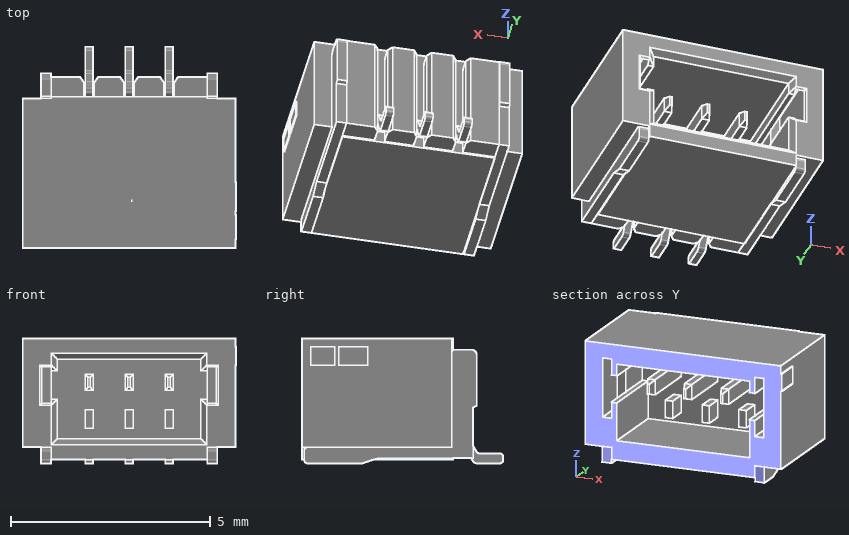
import cadquery as cq
import math


HOUSING_WIDTH = 5.34
HOUSING_DEPTH = 3.76
HOUSING_TOP = 3.14
SIDE_BOTTOM = 0.415
BASE_BOTTOM = 0.1
BASE_HALF_WIDTH = 1.955
REAR_BAND = 0.045

MOUTH_WIDTH = 3.9
MOUTH_BOTTOM = 0.47
MOUTH_TOP = 2.77
MOUTH_CHAMFER = 0.15
CAVITY_DEPTH = 2.95

KEY_HALF_WIDTH = 2.235
KEY_BOTTOM = 1.465
KEY_TOP = 2.47
POCKET_FRONT = 0.05
POCKET_OVERHANG = 0.27
POCKET_DEPTH = 1.875

BLOCK_REAR = 4.295
BLOCK_TOP = 2.855
BLOCK_BOTTOM = 0.14
SLOT_WIDTH = 0.255
SLOT_FLARE = 0.095
SLOT_FLARE_DEPTH = 0.14

CONTACT_COUNT = 3
CONTACT_PITCH = 1.0
CONTACT_WIDTH = 0.2
FOOT_REAR = 5.05
FOOT_THICKNESS = 0.255
FOOT_ROUND = 0.09
HEEL_Y = 4.32
RISER_ANGLE = 60.0
RISER_FOOT_Y = 4.405
ARM_BOTTOM = 0.44
ARM_TOP = 0.735
ARM_FRONT_TOP = 0.61
ARM_FRONT_ROUND = 0.12
RISER_ROUND = 0.18
RISER_FOOT_ROUND = 0.09
HEEL_ROUND = 0.14
EMBED = 0.105

PIN_BOTTOM = 1.84
PIN_TOP = 2.235
PIN_TIP_Y = 1.07
PIN_TAPER = 0.07
PIN_TAPER_LENGTH = 0.215
STUB_BOTTOM = 0.89
STUB_TOP = 1.345
STUB_FRONT_Y = 2.41

TAB_THICKNESS = 0.255
TAB_FRONT = 0.06
TAB_REAR = 4.39
TAB_STEP_Z = 1.45
TAB_STEP_DROP = 0.055
TAB_REAR_ROUND = 0.14
TAB_TOE_ROUND = 0.09
TAB_TOP_CHAMFER = 0.05
TOE_REAR = 1.51
TOE_RAMP_REAR = 1.93

MARK_HEIGHT = 0.02
MARK_BOTTOM = 2.465
MARK_TOP = 2.925
MARK_SPANS = ((0.225, 0.83), (0.925, 1.65))

REAR_WALL = HOUSING_DEPTH + REAR_BAND
CONTACT_XS = [(i - (CONTACT_COUNT - 1) / 2) * CONTACT_PITCH for i in range(CONTACT_COUNT)]


def block(x0, x1, y0, y1, z0, z1):
    """Box between two opposite corners."""
    return cq.Workplane("XY").box(x1 - x0, y1 - y0, z1 - z0, centered=False).translate((x0, y0, z0))


def side_profile(x):
    """Workplane across the width at x; its axes are Y and Z and it extrudes towards +X."""
    return cq.Workplane("YZ", origin=(x, 0, 0))


def make_shell():
    half = HOUSING_WIDTH / 2
    shell = block(-half, half, 0, HOUSING_DEPTH, SIDE_BOTTOM, HOUSING_TOP)
    core = block(-BASE_HALF_WIDTH, BASE_HALF_WIDTH, 0, REAR_WALL, BASE_BOTTOM, HOUSING_TOP)
    return shell.union(core)


def mouth_outline(inset, y):
    """Cross-shaped outline of the mouth, moved inwards by inset, on the plane at y."""
    half = MOUTH_WIDTH / 2 - inset
    key_half = KEY_HALF_WIDTH - inset
    bottom, top = MOUTH_BOTTOM + inset, MOUTH_TOP - inset
    key_bottom, key_top = KEY_BOTTOM + inset, KEY_TOP - inset
    right = [
        (half, bottom), (half, key_bottom), (key_half, key_bottom),
        (key_half, key_top), (half, key_top), (half, top),
    ]
    left = [(-x, z) for x, z in reversed(right)]
    return cq.Wire.makePolygon([cq.Vector(x, y, z) for x, z in right + left], close=True)


def make_cavity():
    """Chamfered mouth, the straight cavity and its side slots and pockets."""
    mouth = cq.Workplane(
        cq.Solid.makeLoft([mouth_outline(0, 0), mouth_outline(MOUTH_CHAMFER, MOUTH_CHAMFER)], True)
    )
    half = MOUTH_WIDTH / 2 - MOUTH_CHAMFER
    room = block(-half, half, 0, CAVITY_DEPTH, MOUTH_BOTTOM + MOUTH_CHAMFER, MOUTH_TOP - MOUTH_CHAMFER)
    slots = block(
        -BASE_HALF_WIDTH, BASE_HALF_WIDTH, 0, CAVITY_DEPTH,
        KEY_BOTTOM + MOUTH_CHAMFER, KEY_TOP - MOUTH_CHAMFER,
    )
    cavity = mouth.union(room).union(slots)
    pocket = block(
        BASE_HALF_WIDTH, KEY_HALF_WIDTH - POCKET_FRONT, POCKET_FRONT, POCKET_DEPTH,
        KEY_BOTTOM - POCKET_OVERHANG, KEY_TOP + POCKET_OVERHANG,
    )
    return cavity.union(pocket).union(pocket.mirror("YZ"))


def make_guide_blocks():
    """Rear wall extension, divided by one flared slot for each contact."""
    blocks = block(-BASE_HALF_WIDTH, BASE_HALF_WIDTH, REAR_WALL, BLOCK_REAR, BLOCK_BOTTOM, BLOCK_TOP)
    narrow = SLOT_WIDTH / 2
    wide = narrow + SLOT_FLARE
    flare_start = BLOCK_REAR - SLOT_FLARE_DEPTH
    slot_points = [
        (-narrow, REAR_WALL), (-narrow, flare_start), (-wide, BLOCK_REAR),
        (wide, BLOCK_REAR), (narrow, flare_start), (narrow, REAR_WALL),
    ]
    slot = cq.Workplane("XY").polyline(slot_points).close().extrude(HOUSING_TOP)
    for x in CONTACT_XS:
        blocks = blocks.cut(slot.translate((x, 0, 0)))
    return blocks


def make_contact():
    """Bent solder leg behind the rear wall, centred on x = 0."""
    run = 1 / math.tan(math.radians(RISER_ANGLE))
    leg_points = [
        (REAR_WALL - EMBED, ARM_BOTTOM),
        (HEEL_Y - ARM_BOTTOM * run, ARM_BOTTOM),
        (HEEL_Y, 0),
        (FOOT_REAR, 0),
        (FOOT_REAR, FOOT_THICKNESS),
        (RISER_FOOT_Y, FOOT_THICKNESS),
        (RISER_FOOT_Y - (ARM_TOP - FOOT_THICKNESS) * run, ARM_TOP),
        (REAR_WALL, ARM_TOP),
        (REAR_WALL, ARM_FRONT_TOP),
        (REAR_WALL - EMBED, ARM_FRONT_TOP),
    ]
    leg = side_profile(-CONTACT_WIDTH / 2).polyline(leg_points).close().extrude(CONTACT_WIDTH)

    for (y, z), radius in (
        (leg_points[2], HEEL_ROUND), (leg_points[3], FOOT_ROUND), (leg_points[4], FOOT_ROUND),
        (leg_points[5], RISER_FOOT_ROUND), (leg_points[6], RISER_ROUND), (leg_points[7], ARM_FRONT_ROUND),
    ):
        corner = cq.selectors.NearestToPointSelector((0, y, z))
        leg = leg.edges("|X").edges(corner).fillet(radius)
    return leg


def make_pin():
    """Mating pin with a tapered tip, and the plain stub below it."""
    half = CONTACT_WIDTH / 2
    height = PIN_TOP - PIN_BOTTOM
    shoulder_y = PIN_TIP_Y + PIN_TAPER_LENGTH
    pin = block(-half, half, shoulder_y, CAVITY_DEPTH, PIN_BOTTOM, PIN_TOP)
    tip = (
        cq.Workplane("XZ", origin=(0, shoulder_y, (PIN_BOTTOM + PIN_TOP) / 2))
        .rect(CONTACT_WIDTH, height)
        .workplane(offset=PIN_TAPER_LENGTH)
        .rect(CONTACT_WIDTH - 2 * PIN_TAPER, height - 2 * PIN_TAPER)
        .loft(ruled=True)
    )
    stub = block(-half, half, STUB_FRONT_Y, CAVITY_DEPTH, STUB_BOTTOM, STUB_TOP)
    return pin.union(tip).union(stub)


def make_housing():
    housing = make_shell().cut(make_cavity()).union(make_guide_blocks())
    contact = make_contact()
    pin = make_pin()
    for x in CONTACT_XS:
        housing = housing.union(contact.translate((x, 0, 0))).union(pin.translate((x, 0, 0)))
    side = HOUSING_WIDTH / 2
    for front, rear in MARK_SPANS:
        housing = housing.union(block(side, side + MARK_HEIGHT, front, rear, MARK_BOTTOM, MARK_TOP))
    return housing


def make_tab(x):
    """L-shaped solder tab whose left face is at x."""
    points = [
        (TAB_FRONT, 0),
        (TAB_FRONT, SIDE_BOTTOM),
        (HOUSING_DEPTH, SIDE_BOTTOM),
        (HOUSING_DEPTH, BLOCK_TOP - TAB_TOP_CHAMFER),
        (HOUSING_DEPTH + TAB_TOP_CHAMFER, BLOCK_TOP),
        (TAB_REAR, BLOCK_TOP),
        (TAB_REAR, TAB_STEP_Z),
        (BLOCK_REAR, TAB_STEP_Z - TAB_STEP_DROP),
        (BLOCK_REAR, BLOCK_BOTTOM),
        (TOE_RAMP_REAR, BLOCK_BOTTOM),
        (TOE_REAR, 0),
    ]
    tab = side_profile(x).polyline(points).close().extrude(TAB_THICKNESS)
    tab = tab.edges("|X").edges("<Y").fillet(TAB_TOE_ROUND)
    return tab.edges("|X").edges(">Y").edges(">Z").fillet(TAB_REAR_ROUND)


housing = make_housing()
tabs = [make_tab(x) for x in (-BASE_HALF_WIDTH - TAB_THICKNESS, BASE_HALF_WIDTH)]

result = cq.Compound.makeCompound([housing.val(), *[tab.val() for tab in tabs]])